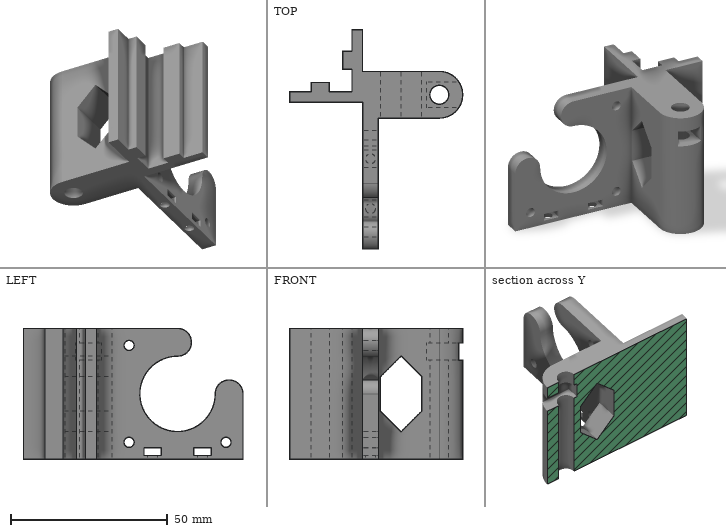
import cadquery as cq

height = 42.0
overlap = 0.7

leg_reach = 23.4
leg_thickness = 3.45
key_start = 10.6
key_width = 5.85
key_height = 2.95

arm_radius = 7.5
arm_axis_y = 2.45
pivot_x = 24.6
pivot_diameter = 6.0

window_center_x = 12.3
window_half_width = 6.6
window_half_side = 5.5
window_half_height = window_half_side + window_half_width

nut_pocket_width = 8.3
nut_pocket_height = 5.4
nut_pocket_center_z = 34.6

plate_thickness = 5.1
plate_end_y = -47.0
motor_center_y = plate_end_y + height / 2
motor_center_z = height / 2
bore_radius = 12.05
lobe_radius = (height / 2 - bore_radius) / 2
lobe_offset = bore_radius + lobe_radius
motor_hole_spacing = 31.05
motor_hole_diameter = 3.2

slot_width = 5.5
slot_height = 2.4
slot_floor_z = 1.35
slot_spacing = 16.0
screw_diameter = 3.2


def block(x_min, x_max, y_min, y_max, z_min=0, z_max=height):
    """Box given by its limits along each axis."""
    size = (x_max - x_min, y_max - y_min, z_max - z_min)
    return cq.Workplane("XY").box(*size, centered=False).translate((x_min, y_min, z_min))


def rail_angle():
    key_end = key_start + key_width
    key_tip = leg_thickness + key_height
    side_leg = block(-leg_reach, 0, 0, leg_thickness)
    side_key = block(-key_end, -key_start, 0, key_tip)
    rear_leg = block(-leg_thickness, 0, 0, leg_reach)
    rear_key = block(-key_tip, 0, key_start, key_end)
    return side_leg.union(side_key).union(rear_leg).union(rear_key)


def nut_pocket():
    half_width = nut_pocket_width / 2
    half_height = nut_pocket_height / 2
    return block(
        pivot_x - half_width,
        pivot_x + arm_radius + overlap,
        arm_axis_y - half_width,
        arm_axis_y + half_width,
        nut_pocket_center_z - half_height,
        nut_pocket_center_z + half_height,
    )


def pivot_arm():
    pivot = cq.Workplane("XY").center(pivot_x, arm_axis_y)
    arm = block(0, pivot_x, arm_axis_y - arm_radius, arm_axis_y + arm_radius)
    arm = arm.union(pivot.circle(arm_radius).extrude(height))
    window = (
        cq.Workplane("XZ", origin=(window_center_x, arm_axis_y, height / 2))
        .moveTo(0, -window_half_height)
        .lineTo(window_half_width, -window_half_side)
        .lineTo(window_half_width, window_half_side)
        .lineTo(0, window_half_height)
        .lineTo(-window_half_width, window_half_side)
        .lineTo(-window_half_width, -window_half_side)
        .close()
        .extrude(arm_radius + overlap, both=True)
    )
    pivot_hole = pivot.circle(pivot_diameter / 2).extrude(height)
    return arm.cut(window).cut(pivot_hole).cut(nut_pocket())


def plate_blank():
    """Plate with a hooked bore, open at the upper free corner between two round lobes."""
    right_lobe_y = motor_center_y - lobe_offset
    upper_lobe_z = motor_center_z + lobe_offset
    return (
        cq.Workplane("YZ")
        .moveTo(0, 0)
        .lineTo(plate_end_y, 0)
        .lineTo(plate_end_y, motor_center_z)
        .threePointArc(
            (right_lobe_y, motor_center_z + lobe_radius),
            (motor_center_y - bore_radius, motor_center_z),
        )
        .threePointArc(
            (motor_center_y, motor_center_z - bore_radius),
            (motor_center_y, motor_center_z + bore_radius),
        )
        .threePointArc(
            (motor_center_y - lobe_radius, upper_lobe_z),
            (motor_center_y, height),
        )
        .lineTo(0, height)
        .close()
        .extrude(plate_thickness)
    )


def motor_holes():
    """Three screw holes; the open corner of the plate has none."""
    half = motor_hole_spacing / 2
    return (
        cq.Workplane("YZ", origin=(0, motor_center_y, motor_center_z))
        .pushPoints([(half, half), (half, -half), (-half, -half)])
        .circle(motor_hole_diameter / 2)
        .extrude(plate_thickness)
    )


def captive_nut_cut(center_y):
    slot = block(
        0,
        plate_thickness,
        center_y - slot_width / 2,
        center_y + slot_width / 2,
        slot_floor_z,
        slot_floor_z + slot_height,
    )
    screw_hole = (
        cq.Workplane("XY", origin=(plate_thickness / 2, center_y, 0))
        .circle(screw_diameter / 2)
        .extrude(slot_floor_z + slot_height)
    )
    return slot.union(screw_hole)


def motor_plate():
    plate = plate_blank().cut(motor_holes())
    for side in (-1, 1):
        plate = plate.cut(captive_nut_cut(motor_center_y + side * slot_spacing / 2))
    return plate


result = rail_angle().union(pivot_arm()).union(motor_plate())